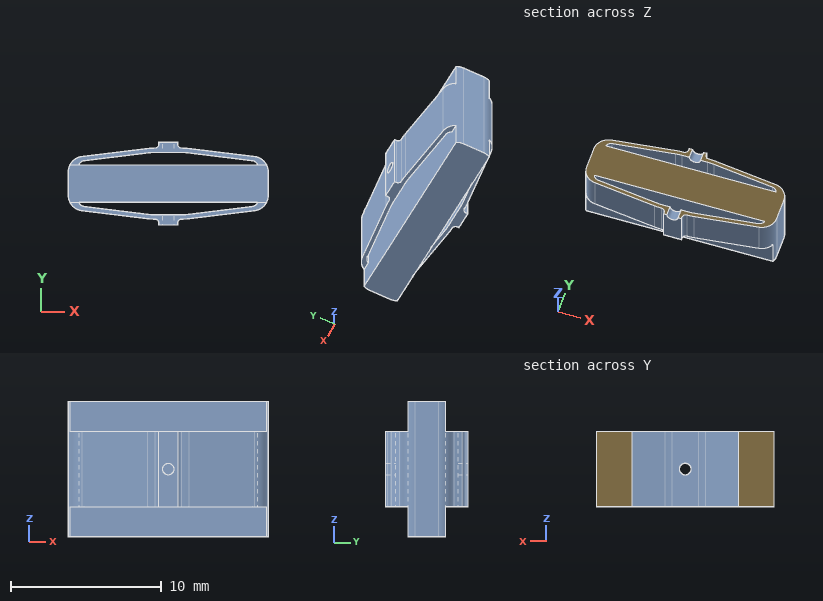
import cadquery as cq
import math

length = 13.29
core_thickness = 2.5
core_height = 9.0
end_flat_width = 1.53
corner_radius = 1.05

band_height = 5.0
band_thickness = 0.3
total_depth = 5.5
crown_y = 2.37
slope_angle = math.radians(7)
inner_corner_radius = 0.4
inner_corner_x = 5.54

pad_width = 1.26
bend_radius = 3.99
pad_fillet = 0.25
hole_diameter = 0.76

half_length = length / 2
half_core = core_thickness / 2
half_pad = pad_width / 2
crown_half_width = half_pad + pad_fillet
sin_slope = math.sin(slope_angle)
cos_slope = math.cos(slope_angle)


def point_on_arc(center, radius, angle):
    """Point on a circle, with the angle measured from +Y towards +X."""
    x = center[0] + radius * math.sin(angle)
    y = center[1] + radius * math.cos(angle)
    return x, y


def mirrored(point):
    return -point[0], point[1]


corner_center = (half_length - corner_radius, end_flat_width / 2)
corner_start_angle = math.acos((half_core - corner_center[1]) / corner_radius)
corner_start = point_on_arc(corner_center, corner_radius, corner_start_angle)
corner_middle = point_on_arc(corner_center, corner_radius, (corner_start_angle + slope_angle) / 2)
corner_end = point_on_arc(corner_center, corner_radius, slope_angle)


def make_core():
    corner_mid_angle = (corner_start_angle + math.pi / 2) / 2
    mid = point_on_arc(corner_center, corner_radius, corner_mid_angle)
    flat = (half_length, end_flat_width / 2)
    return (
        cq.Workplane("XY")
        .workplane(offset=-core_height / 2)
        .moveTo(-corner_start[0], corner_start[1])
        .lineTo(*corner_start)
        .threePointArc(mid, flat)
        .lineTo(flat[0], -flat[1])
        .threePointArc((mid[0], -mid[1]), (corner_start[0], -corner_start[1]))
        .lineTo(-corner_start[0], -corner_start[1])
        .threePointArc((-mid[0], -mid[1]), (-flat[0], -flat[1]))
        .lineTo(-flat[0], flat[1])
        .threePointArc(mirrored(mid), mirrored(corner_start))
        .close()
        .extrude(core_height)
    )


def bowed_outline(start, middle, end, bend_center, radius):
    """Outline from the core face over a corner, leg, bend and crown, and back down."""
    bend_start = point_on_arc(bend_center, radius, slope_angle)
    bend_middle = point_on_arc(bend_center, radius, slope_angle / 2)
    bend_end = point_on_arc(bend_center, radius, 0)
    return (
        cq.Workplane("XY")
        .workplane(offset=-band_height / 2)
        .moveTo(*start)
        .threePointArc(middle, end)
        .lineTo(*bend_start)
        .threePointArc(bend_middle, bend_end)
        .lineTo(*mirrored(bend_end))
        .threePointArc(mirrored(bend_middle), mirrored(bend_start))
        .lineTo(*mirrored(end))
        .threePointArc(mirrored(middle), mirrored(start))
        .close()
        .extrude(band_height)
    )


def make_band():
    bend_center = (crown_half_width, crown_y - bend_radius)
    outer = bowed_outline(corner_start, corner_middle, corner_end, bend_center, bend_radius)

    inner_bend_radius = bend_radius - band_thickness
    leg_start = point_on_arc(bend_center, inner_bend_radius, slope_angle)
    inner_end_x = inner_corner_x + inner_corner_radius * sin_slope
    inner_end_y = leg_start[1] - (inner_end_x - leg_start[0]) * math.tan(slope_angle)
    inner_center = (inner_corner_x, inner_end_y - inner_corner_radius * cos_slope)
    start_angle = math.acos((half_core - inner_center[1]) / inner_corner_radius)
    inner = bowed_outline(
        point_on_arc(inner_center, inner_corner_radius, start_angle),
        point_on_arc(inner_center, inner_corner_radius, (start_angle + slope_angle) / 2),
        (inner_end_x, inner_end_y),
        bend_center,
        inner_bend_radius,
    )
    return outer.cut(inner)


def make_pad():
    fillet_top = crown_y + pad_fillet
    pad_top = total_depth / 2
    base_y = crown_y - band_thickness / 2
    fillet_mid = (
        crown_half_width - pad_fillet * math.sqrt(0.5),
        fillet_top - pad_fillet * math.sqrt(0.5),
    )
    return (
        cq.Workplane("XY")
        .workplane(offset=-band_height / 2)
        .moveTo(crown_half_width, base_y)
        .lineTo(crown_half_width, crown_y)
        .threePointArc(fillet_mid, (half_pad, fillet_top))
        .lineTo(half_pad, pad_top)
        .lineTo(-half_pad, pad_top)
        .lineTo(-half_pad, fillet_top)
        .threePointArc(mirrored(fillet_mid), (-crown_half_width, crown_y))
        .lineTo(-crown_half_width, base_y)
        .close()
        .extrude(band_height)
    )


def make_hole():
    """Hole through the pad and band, ending at the core face."""
    return (
        cq.Workplane("XZ", origin=(0, total_depth / 2, 0))
        .circle(hole_diameter / 2)
        .extrude(total_depth / 2 - half_core)
    )


side = make_band().union(make_pad()).cut(make_hole())
result = make_core().union(side).union(side.mirror("XZ"))